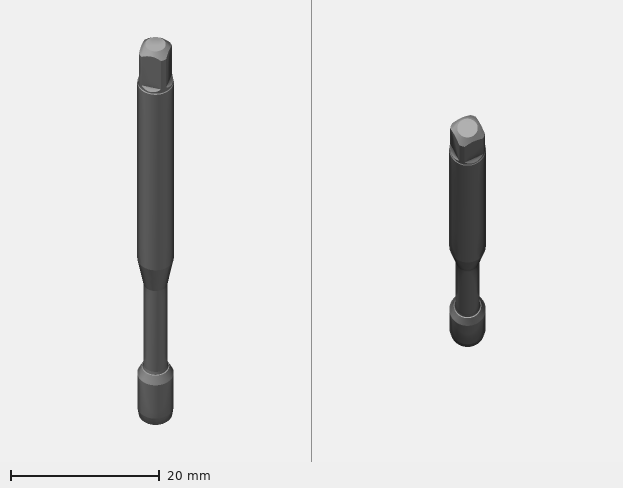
import cadquery as cq

tip_chamfer_top = 0.5
lead_taper_top = 1.85
back_cone_start = 8.15
head_top = 9.43
neck_flare_top = 9.9
shank_cone_start = 25.18
shank_start = 29.9
shank_end = 63.17
overall_length = 70.2

tip_diameter = 3.55
lead_diameter = 4.55
head_diameter = 4.91
head_top_diameter = 3.74
neck_diameter = 3.29
neck_flare_diameter = 3.44
shank_diameter = 4.93
square_corner_diameter = 4.73
drive_end_diameter = 2.75

square_across_flats = 3.84
square_length = 6.35
square_sides = 4

shank_chamfer = (shank_diameter - square_corner_diameter) / 2
drive_end_chamfer = (square_corner_diameter - drive_end_diameter) / 2


def turned(profile):
    """Solid of revolution about Z from (diameter, height) pairs listed from bottom to top."""
    outline = [(0, profile[0][1])]
    outline += [(diameter / 2, height) for diameter, height in profile]
    outline.append((0, profile[-1][1]))
    return cq.Workplane("XZ").polyline(outline).close().revolve(360, (0, 0), (0, 1))


def make_thread_head():
    """Working head: tip chamfer, lead taper, cylinder and back cone."""
    return turned([
        (tip_diameter, 0),
        (lead_diameter, tip_chamfer_top),
        (head_diameter, lead_taper_top),
        (head_diameter, back_cone_start),
        (head_top_diameter, head_top),
    ])


def make_flat_cutter():
    """Prism that mills the -Y flat of the square, with a 45 degree run-out at its lower end."""
    flat_distance = square_across_flats / 2
    flat_bottom = overall_length - square_length
    outer_distance = shank_diameter
    runout_bottom = flat_bottom - (outer_distance - flat_distance)
    outline = [
        (-flat_distance, overall_length),
        (-flat_distance, flat_bottom),
        (-outer_distance, runout_bottom),
        (-outer_distance, overall_length),
    ]
    half_width = shank_diameter / 2
    return cq.Workplane("YZ").polyline(outline).close().extrude(half_width, both=True)


def make_shank():
    """Flared neck, shank cone, shank and drive square in one piece."""
    body = turned([
        (neck_flare_diameter, head_top),
        (neck_diameter, neck_flare_top),
        (neck_diameter, shank_cone_start),
        (shank_diameter, shank_start),
        (shank_diameter, shank_end - shank_chamfer),
        (square_corner_diameter, shank_end),
        (square_corner_diameter, overall_length - drive_end_chamfer),
        (drive_end_diameter, overall_length),
    ])
    cutter = make_flat_cutter()
    for side in range(square_sides):
        body = body.cut(cutter.rotate((0, 0, 0), (0, 0, 1), side * 360 / square_sides))
    return body


thread_head = make_thread_head()
shank = make_shank()

result = cq.Compound.makeCompound([thread_head.val(), shank.val()])